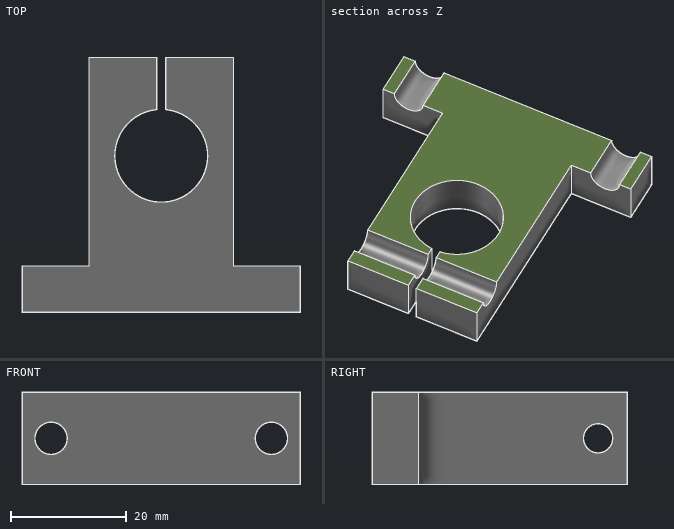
import cadquery as cq

base_length = 48.0
total_height = 44.0
thickness = 16.0

base_depth = 8.0
upright_width = 25.0

bore_diameter = 16.0
bore_center_y = 27.0
slot_width = 1.5

mount_hole_diameter = 5.5
mount_hole_spacing = 38.0
clamp_hole_diameter = 5.0
clamp_hole_inset = 5.05

mid_z = thickness / 2


def block(width, y_start, y_end):
    """Full-thickness block centred on X, spanning y_start to y_end."""
    return cq.Workplane("XY").box(
        width, y_end - y_start, thickness, centered=(True, False, False)
    ).translate((0, y_start, 0))


def cylinder(diameter, length, start, direction):
    """Round cutter running from a start point along a direction."""
    return cq.Workplane(
        cq.Solid.makeCylinder(diameter / 2, length, cq.Vector(*start), cq.Vector(*direction))
    )


result = block(base_length, 0, base_depth).union(block(upright_width, 0, total_height))

result = result.cut(cylinder(bore_diameter, thickness, (0, bore_center_y, 0), (0, 0, 1)))

result = result.cut(block(slot_width, bore_center_y, total_height))

for side in (-1, 1):
    hole_start = (side * mount_hole_spacing / 2, 0, mid_z)
    result = result.cut(cylinder(mount_hole_diameter, base_depth, hole_start, (0, 1, 0)))

clamp_start = (-upright_width / 2, total_height - clamp_hole_inset, mid_z)
result = result.cut(cylinder(clamp_hole_diameter, upright_width, clamp_start, (1, 0, 0)))